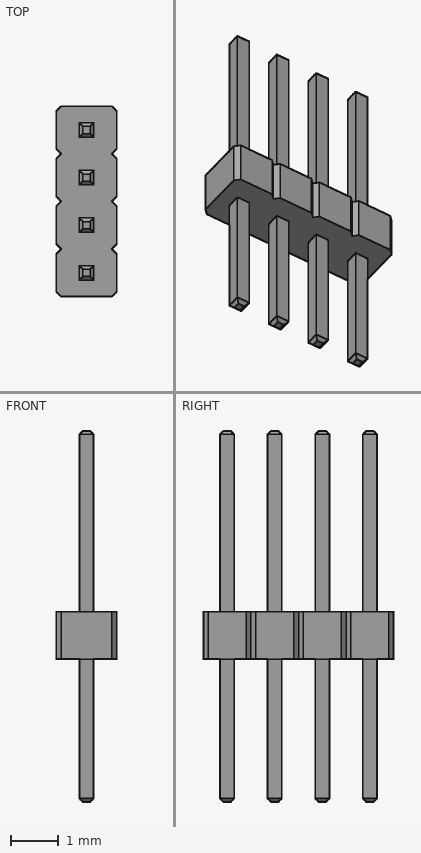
import cadquery as cq

pin_count = 4
row_length = 4.0
pitch = row_length / pin_count
body_width = 1.27
body_height = 1.0
corner_chamfer = 0.1

pin_side = 0.305
total_height = 7.8
pin_below = 3.0
tip_chamfer = 0.08


def body_segment(y):
    """Block around one pin; its chamfered corners form the notches between pins."""
    block = cq.Workplane("XY").box(body_width, pitch, body_height, centered=(True, True, False))
    return block.edges("|Z").chamfer(corner_chamfer).translate((0, y, 0))


def pin(y):
    """Square pin through the body with bevelled tips."""
    post = cq.Workplane("XY").box(pin_side, pin_side, total_height, centered=(True, True, False))
    return post.faces("<Z or >Z").chamfer(tip_chamfer).translate((0, y, -pin_below))


pin_positions = [(i - (pin_count - 1) / 2) * pitch for i in range(pin_count)]

result = body_segment(pin_positions[0])
for y in pin_positions[1:]:
    result = result.union(body_segment(y))
for y in pin_positions:
    result = result.union(pin(y))